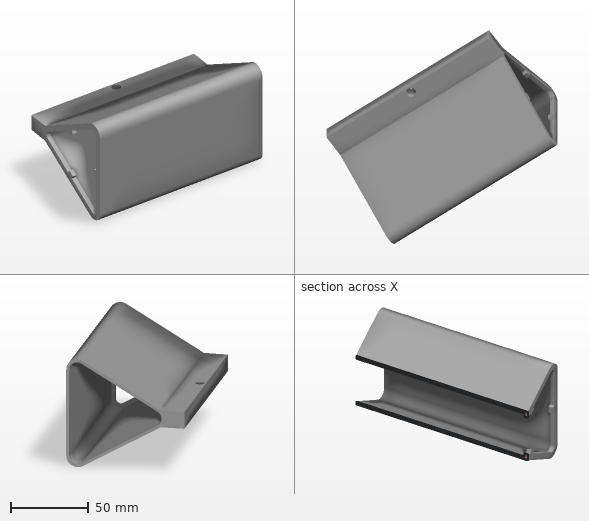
import cadquery as cq
import math


length = 128.01
corner_spacing = 58.26
outer_radius = 7.44
lip_wall = 4.25
wall = 2.0
lip_length = 3.05
tab_thickness = 11.43
tab_reach = 20.64
hole_diameter = 6.35
hole_edge_distance = 3.97
rib_width = 4.76
rib_height = 2.54
side_count = 3

half_corner_angle = 30
lip_radius = outer_radius - lip_wall
cavity_radius = outer_radius - wall
triangle_height = corner_spacing * math.cos(math.radians(half_corner_angle))
centroid_x = triangle_height * 2 / 3
lip_face_x = triangle_height + lip_radius


def rounded_triangle(radius):
    """Full-length prism of triangular section, rounded about the three corner centres."""
    tip_x = -radius / math.sin(math.radians(half_corner_angle))
    back_x = triangle_height + radius
    half_back = (back_x - tip_x) * math.tan(math.radians(half_corner_angle))
    return (
        cq.Workplane("XZ")
        .polyline([(tip_x, 0), (back_x, -half_back), (back_x, half_back)])
        .close()
        .extrude(length / 2, both=True)
        .edges("|Y")
        .fillet(radius)
    )


def mounting_tab():
    """Flat tab along the whole -X corner."""
    return (
        cq.Workplane("XY")
        .box(tab_reach, length, tab_thickness)
        .translate((-tab_reach / 2, 0, 0))
    )


def cavity():
    """Through opening, wider behind the lip at the -Y end."""
    lip_opening = rounded_triangle(lip_radius)
    wide_part = rounded_triangle(cavity_radius).translate((0, lip_length, 0))
    return lip_opening.union(wide_part)


def rib(angle):
    """Short rib on the middle of one side of the lip, rooted in the lip."""
    root_depth = lip_wall / 2
    return (
        cq.Workplane("XY")
        .box(rib_height + root_depth, lip_length, rib_width, centered=(False, False, True))
        .translate((lip_face_x - rib_height, -length / 2, 0))
        .rotate((centroid_x, 0, 0), (centroid_x, 1, 0), angle)
    )


def tab_hole():
    """Hole through the tab, halfway along its length."""
    return (
        cq.Workplane("XY")
        .center(hole_edge_distance - tab_reach, 0)
        .circle(hole_diameter / 2)
        .extrude(tab_thickness, both=True)
    )


body = rounded_triangle(outer_radius).union(mounting_tab()).cut(cavity())
for side in range(side_count):
    body = body.union(rib(side * 360 / side_count))

result = body.cut(tab_hole())